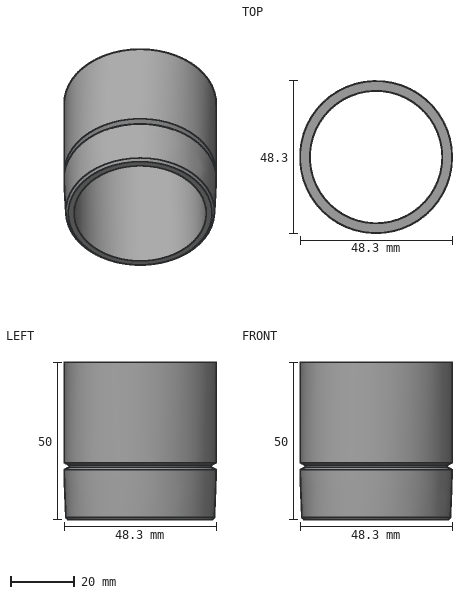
import cadquery as cq

height = 50.0
outer_radius = 24.15
bore_radius = 20.95

groove_top = 18.2
groove_bottom = 15.9
groove_floor_width = 0.6
groove_depth = 1.6

skirt_taper = 0.55
skirt_bulge = 0.05
chamfer_height = 0.85
chamfer_width = 0.8

groove_middle = (groove_top + groove_bottom) / 2
floor_top = groove_middle + groove_floor_width / 2
floor_bottom = groove_middle - groove_floor_width / 2
floor_radius = outer_radius - groove_depth
skirt_bottom_radius = outer_radius - skirt_taper
skirt_middle_radius = (outer_radius + skirt_bottom_radius) / 2 + skirt_bulge
skirt_middle = (groove_bottom + chamfer_height) / 2

wall_section = (
    cq.Workplane("XZ")
    .moveTo(bore_radius, 0)
    .lineTo(skirt_bottom_radius - chamfer_width, 0)
    .lineTo(skirt_bottom_radius, chamfer_height)
    .threePointArc((skirt_middle_radius, skirt_middle), (outer_radius, groove_bottom))
    .lineTo(floor_radius, floor_bottom)
    .lineTo(floor_radius, floor_top)
    .lineTo(outer_radius, groove_top)
    .lineTo(outer_radius, height)
    .lineTo(bore_radius, height)
    .close()
)

result = wall_section.revolve(360, (0, 0, 0), (0, 1, 0))